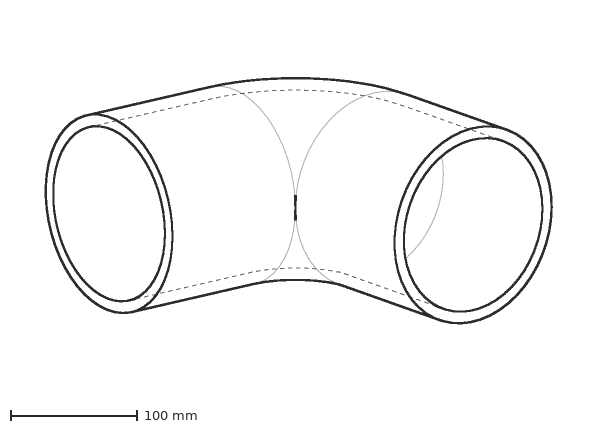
import cadquery as cq

outer_diameter = 160.0
wall_thickness = 9.5
leg_length = 125.0
bend_angle = 90.0

outer_radius = outer_diameter / 2
inner_radius = outer_radius - wall_thickness
bend_radius = outer_radius


def elbow_body(radius):
    """Solid elbow of the given tube radius, with the bend axis along Z through the origin."""
    front_leg = (
        cq.Workplane("XZ")
        .center(-bend_radius, 0)
        .circle(radius)
        .extrude(leg_length)
    )
    side_leg = (
        cq.Workplane("YZ")
        .center(bend_radius, 0)
        .circle(radius)
        .extrude(leg_length)
    )
    bend = (
        cq.Workplane("XZ")
        .center(-bend_radius, 0)
        .circle(radius)
        .revolve(bend_angle, (bend_radius, 0), (bend_radius, -1))
    )
    return bend.union(front_leg).union(side_leg)


result = elbow_body(outer_radius).cut(elbow_body(inner_radius))